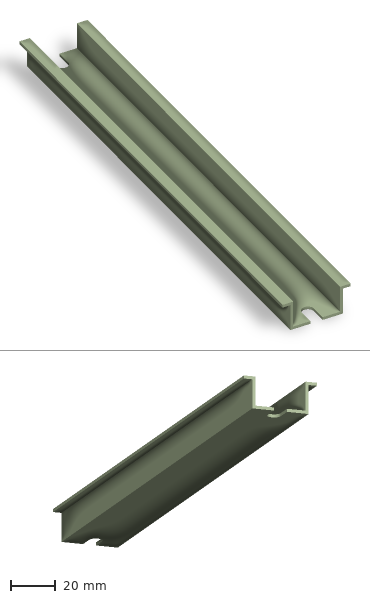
import cadquery as cq

length = 241.0
rail_width = 35.0
height = 15.0

thickness = 1.5
channel_inner_width = 24.0
channel_outer_width = channel_inner_width + 2 * thickness

slot_width = 6.3
slot_depth = 11.0


def floor_slot(end_x):
    """Slot with a round inner end, running out through the rail end at end_x."""
    return (
        cq.Workplane("XY")
        .center(end_x, 0)
        .slot2D(2 * slot_depth, slot_width)
        .extrude(thickness)
    )


channel = cq.Workplane("XY").box(
    length, channel_outer_width, height, centered=(True, True, False)
)

lips = (
    cq.Workplane("XY")
    .workplane(offset=height - thickness)
    .rect(length, rail_width)
    .extrude(thickness)
)

cavity = (
    cq.Workplane("XY")
    .workplane(offset=thickness)
    .rect(length, channel_inner_width)
    .extrude(height - thickness)
)

result = channel.union(lips).cut(cavity)

for end_x in (-length / 2, length / 2):
    result = result.cut(floor_slot(end_x))